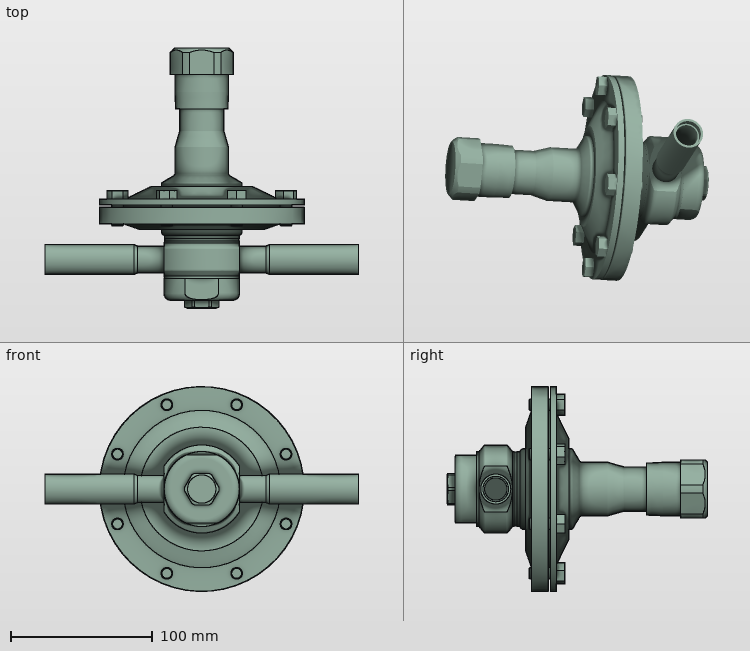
import cadquery as cq
import math


pipe_length = 221.56
pipe_radius = 10.6
neck_radius = 9.5
pipe_taper_start = 47.8
pipe_taper_end = 45.2
bore_radius = 7.9
socket_radius = 9.0
socket_depth = 6.0

body_radius = 31.1
body_half_length = 8.0
body_corner_round = 1.5
body_taper_end = 11.8
throat_radius = 26.5
throat_groove_depth = 0.3
throat_groove_front = 12.9
throat_groove_rear = 15.0
body_flat_distance = throat_radius

cap_radius = 26.7
cap_rear = -13.5
cap_front = -28.85
cap_round = 5.0
cap_flat_distance = 23.95
plug_front = -34.45
plug_across_flats = 22.2
plug_corner_radius = 12.25
plug_face_radius = 10.0
plug_chamfer_length = 0.8

flange_radius = 144.78 / 2
front_flange_front = 25.2
front_flange_rear = 37.2
front_flange_chamfer = 0.4
rear_flange_front = 38.5
rear_flange_rear = 42.7
gasket_radius = 56.0
front_cover_base_radius = 55.6
front_cover_top_radius = 43.7
front_cover_front = 21.1
rear_cover_base_radius = 54.0
rear_cover_top_radius = 35.7
rear_cover_rear = 51.6

collar_radius = 28.5
front_collar_front = 17.0
front_collar_round = 2.6
rear_collar_rear = 54.05
rear_collar_round = 1.5

tube_radius = 19.0
tube_cone_foot = 59.7
tube_foot_round = 1.5
tube_shoulder = 79.1
tube_waist_radius = 15.7
waist_front = 90.6
waist_rear = 106.4
tube_lip_radius = 18.5
lip_taper_end = 118.1
nut_front = 130.5
nut_rear = nut_front + 19.0
nut_across_flats = 41.2
nut_corner_radius = 22.3
nut_chamfer = 3.3

bolt_count = 8
bolt_circle_radius = 64.4
first_bolt_angle = 360 / bolt_count / 2
bolt_radius = 4.1
bolt_across_flats = 13.0
bolt_head_height = 6.0
bolt_tip_length = 1.6
bolt_tip_chamfer = 0.6


def across_corners(across_flats):
    return across_flats / math.cos(math.radians(30))


def y_plane(y):
    """Sketch plane facing +Y: local x is +X and local y is -Z."""
    return cq.Workplane(cq.Plane(origin=(0, y, 0), xDir=(1, 0, 0), normal=(0, 1, 0)))


def revolve_about_y(points):
    """Turn (radius, y) points about the Y axis."""
    return cq.Workplane("XY").polyline(points).close().revolve(360, (0, 0), (0, 1))


def revolve_about_x(points):
    """Turn (x, radius) points about the X axis."""
    return cq.Workplane("XY").polyline(points).close().revolve(360, (0, 0), (1, 0))


def round_edge(part, radius, y, round_radius):
    """Round the circular edge of a turned part that has this radius and y."""
    tolerance = 0.01
    edges = []
    for edge in part.edges("%CIRCLE").vals():
        same_radius = abs(edge.radius() - radius) < tolerance
        if same_radius and abs(edge.Center().y - y) < tolerance:
            edges.append(edge)
    return part.newObject(edges).fillet(round_radius)


def make_body():
    """Turned valve body with two side flats, reaching from the cap to the housing."""
    groove_radius = throat_radius - throat_groove_depth
    body = revolve_about_y([
        (0, cap_rear),
        (throat_radius, cap_rear),
        (throat_radius, -body_taper_end),
        (body_radius, -body_half_length),
        (body_radius, body_half_length),
        (throat_radius, body_taper_end),
        (throat_radius, throat_groove_front),
        (groove_radius, throat_groove_front),
        (groove_radius, throat_groove_rear),
        (throat_radius, throat_groove_rear),
        (throat_radius, front_cover_front),
        (0, front_cover_front),
    ])
    body = round_edge(body, body_radius, -body_half_length, body_corner_round)
    body = round_edge(body, body_radius, body_half_length, body_corner_round)
    body_width = 2 * body_radius
    side_limits = cq.Workplane("XY").box(2 * body_flat_distance, body_width, body_width)
    return body.intersect(side_limits)


def make_front_collar():
    """Collar against the front cover, with its front edge rounded."""
    collar = y_plane(front_collar_front).circle(collar_radius).extrude(
        front_cover_front - front_collar_front
    )
    return round_edge(collar, collar_radius, front_collar_front, front_collar_round)


def make_cap():
    """Round front cap with a rounded rim and wrench flats above and below."""
    cap_length = cap_rear - cap_front
    cap = y_plane(cap_front).circle(cap_radius).extrude(cap_length)
    cap = round_edge(cap, cap_radius, cap_front, cap_round)
    flat_limits = cq.Workplane("XY").box(2 * cap_radius, cap_length, 2 * cap_flat_distance)
    return cap.intersect(flat_limits.translate((0, (cap_front + cap_rear) / 2, 0)))


def make_plug():
    """Hexagonal plug with corners on the X axis and a chamfered front face."""
    prism = y_plane(plug_front).polygon(6, across_corners(plug_across_flats)).extrude(
        cap_front - plug_front
    )
    envelope = revolve_about_y([
        (0, plug_front),
        (plug_face_radius, plug_front),
        (plug_corner_radius, plug_front + plug_chamfer_length),
        (plug_corner_radius, cap_front),
        (0, cap_front),
    ])
    return prism.intersect(envelope)


def make_housing():
    """Both flanges with their covers, and the gasket ring between them."""
    return revolve_about_y([
        (0, front_cover_front),
        (front_cover_top_radius, front_cover_front),
        (front_cover_base_radius, front_flange_front),
        (flange_radius, front_flange_front),
        (flange_radius, front_flange_rear - front_flange_chamfer),
        (flange_radius - front_flange_chamfer, front_flange_rear),
        (gasket_radius, front_flange_rear),
        (gasket_radius, rear_flange_front),
        (flange_radius, rear_flange_front),
        (flange_radius, rear_flange_rear),
        (rear_cover_base_radius, rear_flange_rear),
        (rear_cover_top_radius, rear_cover_rear),
        (0, rear_cover_rear),
    ])


def make_spring_tube():
    """Turned spring tube, from the rear cover to the adjusting nut."""
    tube = revolve_about_y([
        (0, rear_cover_rear),
        (collar_radius, rear_cover_rear),
        (collar_radius, rear_collar_rear),
        (tube_radius, tube_cone_foot),
        (tube_radius, tube_shoulder),
        (tube_waist_radius, waist_front),
        (tube_waist_radius, waist_rear),
        (tube_lip_radius, waist_rear),
        (tube_radius, lip_taper_end),
        (tube_radius, nut_front),
        (0, nut_front),
    ])
    tube = round_edge(tube, collar_radius, rear_collar_rear, rear_collar_round)
    return round_edge(tube, tube_radius, tube_cone_foot, tube_foot_round)


def make_nut():
    """Hexagonal adjusting nut with turned corners and a chamfered rear face."""
    prism = y_plane(nut_front).polygon(6, across_corners(nut_across_flats)).extrude(
        nut_rear - nut_front
    )
    envelope = revolve_about_y([
        (0, nut_front),
        (nut_corner_radius, nut_front),
        (nut_corner_radius, nut_rear - nut_chamfer),
        (nut_corner_radius - nut_chamfer, nut_rear),
        (0, nut_rear),
    ])
    return prism.intersect(envelope)


def make_bolt():
    """Bolt along the Y axis, its hexagon corners pointing along X."""
    tip = front_flange_front - bolt_tip_length
    shank = y_plane(tip).circle(bolt_radius).extrude(rear_flange_rear - tip)
    shank = shank.faces("<Y").chamfer(bolt_tip_chamfer)
    head = y_plane(rear_flange_rear).polygon(6, across_corners(bolt_across_flats)).extrude(
        bolt_head_height
    )
    return shank.union(head)


def make_bolt_ring():
    """All flange bolts; the first is placed unturned and the rest rotate with the circle."""
    first_angle = math.radians(first_bolt_angle)
    first_bolt = make_bolt().translate((
        bolt_circle_radius * math.cos(first_angle),
        0,
        -bolt_circle_radius * math.sin(first_angle),
    ))
    ring = first_bolt
    for index in range(1, bolt_count):
        turn = index * 360 / bolt_count
        ring = ring.union(first_bolt.rotate((0, 0, 0), (0, 1, 0), turn))
    return ring


def make_pipe():
    """Pipe through the body, necked down near the body on both sides."""
    end = pipe_length / 2
    return revolve_about_x([
        (-end, 0),
        (-end, pipe_radius),
        (-pipe_taper_start, pipe_radius),
        (-pipe_taper_end, neck_radius),
        (pipe_taper_end, neck_radius),
        (pipe_taper_start, pipe_radius),
        (end, pipe_radius),
        (end, 0),
    ])


def make_pipe_bore(side):
    """Blind bore with a wider socket at the mouth; side is -1 or +1 along X."""
    end = pipe_length / 2
    return revolve_about_x([
        (side * end, 0),
        (side * end, socket_radius),
        (side * (end - socket_depth), socket_radius),
        (side * (end - socket_depth), bore_radius),
        (side * body_flat_distance, bore_radius),
        (side * body_flat_distance, 0),
    ])


result = make_housing()
for piece in (
    make_body(),
    make_front_collar(),
    make_cap(),
    make_plug(),
    make_spring_tube(),
    make_nut(),
    make_bolt_ring(),
    make_pipe(),
):
    result = result.union(piece)
for pipe_side in (-1, 1):
    result = result.cut(make_pipe_bore(pipe_side))